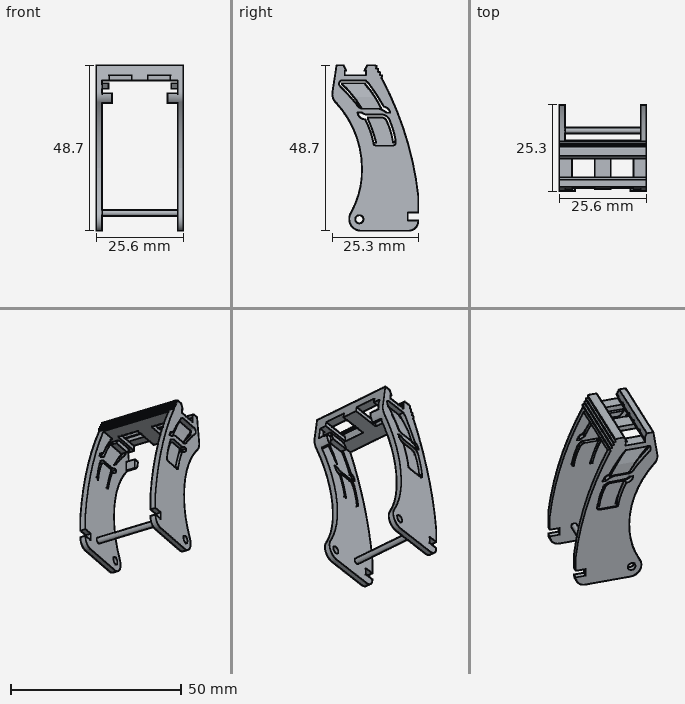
import cadquery as cq
import math

WIDTH = 25.65
DEPTH = 25.3
HEIGHT = 48.7
HALF_WIDTH = WIDTH / 2
WALL = 1.75
INNER_HALF = HALF_WIDTH - WALL

FRONT_TOP_Y = 1.25
NOSE_RADIUS = 3.55
NOSE_CENTRE = (NOSE_RADIUS, 40.25)
NOSE_UPPER_ANGLE = 171.3
NOSE_LOWER_ANGLE = 219.0
WAIST = (8.7, 18.45)
WAIST_UPPER_MID = (6.35, 29.65)
WAIST_LOWER_MID = (8.1, 12.15)
WAIST_END = (5.65, 5.65)
FOOT_RADIUS = 3.5
FOOT_CENTRE = (8.45, FOOT_RADIUS)
FOOT_START_ANGLE = 158.0

HEEL_RADIUS = 2.9
BACK_FLAT_TOP_Z = 10.25
BACK_MID = (21.65, 27.75)
REAR_TOP_Y = 12.35
TOOTH_COUNT = 4
TEETH_RUN = 2.15
TEETH_DROP = 3.8
TOOTH_PITCH = (TEETH_RUN / TOOTH_COUNT, -TEETH_DROP / TOOTH_COUNT)
TOOTH_REACH = 0.7
TOOTH_SHELF_DROP = 0.2
TOOTH_TIP_DROP = 0.65

CHANNEL_FLOOR_Z = 45.8
LIP_Z = 47.1
MOUTH_Y = (3.3, 10.32)
LIP_Y = (4.15, 9.45)
CHANNEL_Y = (3.75, 9.9)

BRIDGE_BOTTOM_Z = 44.15
OPENING_INNER_X = 2.4
OPENING_OUTER_X = 9.0

LUG_LENGTH = 2.95
LUG_BACK_Y = 1.8
LUG_BOTTOM_Z = 37.5
LUG_TOP_Z = 40.45
LUG_EDGE_RADIUS = 0.3

PIVOT = (8.0, 3.4)
PIVOT_RADIUS = 1.15
NOTCH_DEPTH = 3.1
NOTCH_BOTTOM_Z = 3.1
NOTCH_TOP_Z = 5.35
ROD = (17.8, 5.25)
ROD_RADIUS = 0.93

PANEL_RECESS = 0.5
FOLD_Z = 39.3
LATCH_TOP_Z = 43.4
LATCH_LEAN = 0.65
HOOK_BOTTOM_Z = 41.75
HOOK_REACH = 1.9
HOOK_TOP_Y = (3.0, 9.45)
HOOK_BOTTOM_Y = (4.45, 10.6)
SLOT_END_Z = 25.9

UPPER_SILL_Z = 35.9
LEAF_TIP_Z = 34.7
LOWER_HEAD_Z = 34.15
LOWER_SILL_Z = 25.1


def on_circle(centre, radius, degrees):
    angle = math.radians(degrees)
    return (centre[0] + radius * math.cos(angle), centre[1] + radius * math.sin(angle))


def side_sketch(x):
    """Sketch plane across X; its axes are Y and Z."""
    return cq.Workplane("YZ", origin=(x, 0, 0))


def box(x_range, y_range, z_range):
    sizes = [high - low for low, high in (x_range, y_range, z_range)]
    return (
        cq.Workplane("XY")
        .box(*sizes, centered=False)
        .translate((x_range[0], y_range[0], z_range[0]))
    )


def body():
    """Full-width solid with the side outline of the part."""
    nose_mid_angle = (NOSE_UPPER_ANGLE + NOSE_LOWER_ANGLE) / 2
    foot_mid_angle = (FOOT_START_ANGLE + 270) / 2
    heel_centre = (DEPTH - HEEL_RADIUS, HEEL_RADIUS)
    outline = (
        side_sketch(-HALF_WIDTH)
        .moveTo(FRONT_TOP_Y, HEIGHT)
        .lineTo(*on_circle(NOSE_CENTRE, NOSE_RADIUS, NOSE_UPPER_ANGLE))
        .threePointArc(
            on_circle(NOSE_CENTRE, NOSE_RADIUS, nose_mid_angle),
            on_circle(NOSE_CENTRE, NOSE_RADIUS, NOSE_LOWER_ANGLE),
        )
        .threePointArc(WAIST_UPPER_MID, WAIST)
        .threePointArc(WAIST_LOWER_MID, WAIST_END)
        .lineTo(*on_circle(FOOT_CENTRE, FOOT_RADIUS, FOOT_START_ANGLE))
        .threePointArc(
            on_circle(FOOT_CENTRE, FOOT_RADIUS, foot_mid_angle),
            (FOOT_CENTRE[0], 0),
        )
        .lineTo(heel_centre[0], 0)
        .threePointArc(on_circle(heel_centre, HEEL_RADIUS, -45), (DEPTH, HEEL_RADIUS))
        .lineTo(DEPTH, BACK_FLAT_TOP_Z)
    )
    teeth_end = (REAR_TOP_Y + TEETH_RUN, HEIGHT - TEETH_DROP)
    outline = outline.threePointArc(BACK_MID, teeth_end)
    for index in reversed(range(TOOTH_COUNT)):
        root_y = REAR_TOP_Y + index * TOOTH_PITCH[0]
        root_z = HEIGHT + index * TOOTH_PITCH[1]
        outline = (
            outline
            .lineTo(root_y + TOOTH_REACH, root_z - TOOTH_TIP_DROP)
            .lineTo(root_y + TOOTH_REACH, root_z - TOOTH_SHELF_DROP)
            .lineTo(root_y, root_z)
        )
    return outline.close().extrude(WIDTH)


def channel():
    """Undercut channel between the two top rails."""
    points = [
        (MOUTH_Y[0], HEIGHT),
        (LIP_Y[0], LIP_Z),
        (CHANNEL_Y[0], LIP_Z),
        (CHANNEL_Y[0], CHANNEL_FLOOR_Z),
        (CHANNEL_Y[1], CHANNEL_FLOOR_Z),
        (CHANNEL_Y[1], LIP_Z),
        (LIP_Y[1], LIP_Z),
        (MOUTH_Y[1], HEIGHT),
    ]
    return side_sketch(-HALF_WIDTH).polyline(points).close().extrude(WIDTH)


def bridge_opening(x_range):
    """Opening through the bridge floor and out under the front rail."""
    return box(x_range, (0, CHANNEL_Y[1]), (BRIDGE_BOTTOM_Z, CHANNEL_FLOOR_Z))


def lug(outline_solid):
    """Lug on the inner face of the -X plate, following the nose outline."""
    block = (
        box((-INNER_HALF, -INNER_HALF + LUG_LENGTH), (0, LUG_BACK_Y), (LUG_BOTTOM_Z, LUG_TOP_Z))
        .edges("|X and <Y and >Z")
        .fillet(LUG_EDGE_RADIUS)
    )
    return block.intersect(outline_solid)


def upper_window(depth):
    """Outline around the latch panel, with a leaf-shaped tip at the rear."""
    return (
        side_sketch(-HALF_WIDTH)
        .moveTo(9.75, BRIDGE_BOTTOM_Z)
        .lineTo(2.82, BRIDGE_BOTTOM_Z)
        .threePointArc((2.1, 43.5), (2.35, 42.5))
        .threePointArc((4.7, 40.05), (7.15, 37.25))
        .threePointArc((7.9, 36.35), (8.85, UPPER_SILL_Z))
        .lineTo(13.4, UPPER_SILL_Z)
        .threePointArc((14.7, 35.55), (15.92, LEAF_TIP_Z))
        .lineTo(17.0, LEAF_TIP_Z)
        .threePointArc((16.35, 35.9), (15.2, 36.5))
        .lineTo(14.95, 36.8)
        .threePointArc((12.95, 40.1), (10.6, 43.4))
        .close()
        .extrude(depth)
    )


def upper_panel(depth):
    """Latch panel; it runs past the window bottom so that it stays joined there."""
    return (
        side_sketch(-HALF_WIDTH)
        .moveTo(9.5, LATCH_TOP_Z)
        .lineTo(2.85, LATCH_TOP_Z)
        .lineTo(2.85, 43.05)
        .threePointArc((6.25, 39.5), (8.65, UPPER_SILL_Z))
        .lineTo(8.65, 35.05)
        .lineTo(14.55, 35.05)
        .lineTo(14.55, 35.65)
        .threePointArc((12.4, 39.55), (9.5, LATCH_TOP_Z))
        .close()
        .extrude(depth)
    )


def lower_window(depth):
    """Outline around the lower panel, with a leaf-shaped tip at the front."""
    return (
        side_sketch(-HALF_WIDTH)
        .moveTo(14.85, LOWER_HEAD_Z)
        .lineTo(10.35, LOWER_HEAD_Z)
        .threePointArc((9.45, 34.3), (8.65, LEAF_TIP_Z))
        .lineTo(7.5, LEAF_TIP_Z)
        .threePointArc((8.2, 33.35), (9.7, 32.8))
        .threePointArc((11.15, 29.45), (12.15, 26.05))
        .threePointArc((12.2, 25.4), (12.75, LOWER_SILL_Z))
        .lineTo(17.9, LOWER_SILL_Z)
        .threePointArc((18.5, 25.35), (18.7, 26.05))
        .threePointArc((18.0, 29.2), (17.0, 32.15))
        .threePointArc((16.2, 33.45), (14.85, LOWER_HEAD_Z))
        .close()
        .extrude(depth)
    )


def lower_panel(depth):
    """Lower panel, with the wider foot that joins it to the plate."""
    return (
        side_sketch(-HALF_WIDTH)
        .moveTo(14.75, 33.35)
        .lineTo(10.35, 33.35)
        .lineTo(10.45, 32.8)
        .threePointArc((11.85, 29.45), (12.9, SLOT_END_Z))
        .lineTo(11.7, SLOT_END_Z)
        .lineTo(11.7, 24.35)
        .lineTo(19.0, 24.35)
        .lineTo(19.0, 26.95)
        .lineTo(18.65, 26.95)
        .threePointArc((18.35, 26.25), (17.9, SLOT_END_Z))
        .threePointArc((17.15, 29.45), (15.92, 32.55))
        .threePointArc((15.35, 33.05), (14.75, 33.35))
        .close()
        .extrude(depth)
    )


def upper_latch_cuts():
    """Slot around the upper panel, its recess, and the lean above the fold."""
    slot = upper_window(WALL).cut(upper_panel(WALL))
    recess = upper_window(PANEL_RECESS)
    outer_x = -HALF_WIDTH + PANEL_RECESS
    wedge = (
        cq.Workplane("XZ")
        .moveTo(outer_x, FOLD_Z)
        .lineTo(outer_x + LATCH_LEAN, LATCH_TOP_Z)
        .lineTo(outer_x, LATCH_TOP_Z)
        .close()
        .extrude(-DEPTH)
        .intersect(upper_panel(WALL))
    )
    return [slot, recess, wedge]


def lower_latch_cuts():
    """Slot beside and above the lower panel, and its recess."""
    slot = lower_window(WALL).cut(lower_panel(WALL))
    return [slot, lower_window(PANEL_RECESS)]


def hook():
    """Hook at the free end of the upper panel, reaching inward."""
    points = [
        (HOOK_TOP_Y[0], LATCH_TOP_Z),
        (HOOK_BOTTOM_Y[0], HOOK_BOTTOM_Z),
        (HOOK_BOTTOM_Y[1], HOOK_BOTTOM_Z),
        (HOOK_TOP_Y[1], LATCH_TOP_Z),
    ]
    return side_sketch(-INNER_HALF).polyline(points).close().extrude(HOOK_REACH)


def mirrored(solid):
    return solid.mirror("YZ")


outline_solid = body()
result = outline_solid.cut(box((-INNER_HALF, INNER_HALF), (0, DEPTH), (0, BRIDGE_BOTTOM_Z)))
result = result.cut(channel())

result = result.cut(side_sketch(-HALF_WIDTH).center(*PIVOT).circle(PIVOT_RADIUS).extrude(WIDTH))
notch = box((-HALF_WIDTH, HALF_WIDTH), (DEPTH - NOTCH_DEPTH, DEPTH), (NOTCH_BOTTOM_Z, NOTCH_TOP_Z))
result = result.cut(notch)

opening = bridge_opening((-OPENING_OUTER_X, -OPENING_INNER_X))
for cutter in [opening] + upper_latch_cuts() + lower_latch_cuts():
    result = result.cut(cutter).cut(mirrored(cutter))
for addition in [lug(outline_solid), hook()]:
    result = result.union(addition).union(mirrored(addition))

result = result.union(side_sketch(-INNER_HALF).center(*ROD).circle(ROD_RADIUS).extrude(2 * INNER_HALF))